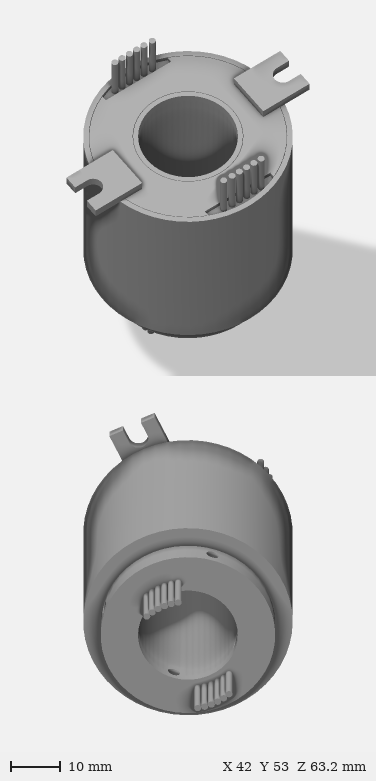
import cadquery as cq
import math


bore_radius = 10.0
sleeve_radius = 11.0
flange_radius = 17.5
flange_height = 5.1
neck_radius = 13.45
neck_height = 0.9
housing_radius = 21.0
housing_height = 39.2
housing_bottom = flange_height + neck_height
housing_top = housing_bottom + housing_height

clearance_width = 0.1
clearance_depth = 1.0
cap_seat_radius = 19.9

screw_hole_diameter = 2.5
screw_hole_count = 4
screw_hole_start_angle = 41.5

tab_width = 10.0
tab_thickness = 2.0
tab_inner_y = 15.0
tab_outer_y = 26.5
slot_width = 4.0
slot_end_y = 21.5

wire_radius = 0.7
wire_length = 9.0
wires_per_group = 6

pocket_inner_x = 16.9
pocket_half_length = 8.1
pocket_depth = 1.0
upper_row_x = 18.2
upper_row_end_y = 4.9
upper_wire_pitch = 1.8
corner_wire_x = 18.1
corner_wire_y = 4.3

lower_arc_radius = 12.0
lower_wire_pitch_angle = 6.8
lower_group_turn = 1.35


def cylinder(radius, bottom, height):
    return cq.Workplane("XY").workplane(offset=bottom).circle(radius).extrude(height)


def ring_cut(outer_radius):
    """Annular clearance sunk into the top face."""
    return (
        cq.Workplane("XY")
        .workplane(offset=housing_top - clearance_depth)
        .circle(outer_radius)
        .circle(outer_radius - clearance_width)
        .extrude(clearance_depth)
    )


def half_turn_pair(shape):
    """The shape together with its copy turned half way round the axis."""
    return [shape, shape.rotate((0, 0, 0), (0, 0, 1), 180)]


def make_body():
    body = cylinder(flange_radius, 0, flange_height)
    body = body.union(cylinder(neck_radius, flange_height, neck_height))
    body = body.union(cylinder(housing_radius, housing_bottom, housing_height))
    body = body.cut(cylinder(bore_radius, 0, housing_top))
    body = body.cut(ring_cut(sleeve_radius + clearance_width))
    return body.cut(ring_cut(cap_seat_radius))


def make_screw_hole(angle):
    """Radial hole from the bore out through the flange."""
    hole = (
        cq.Workplane("YZ")
        .center(0, flange_height / 2)
        .circle(screw_hole_diameter / 2)
        .extrude(flange_radius)
    )
    return hole.rotate((0, 0, 0), (0, 0, 1), angle)


def make_pocket():
    """Wire pocket on the +X side, bounded outside by the cap seat."""
    pocket_bottom = housing_top - pocket_depth
    block = (
        cq.Workplane("XY")
        .workplane(offset=pocket_bottom)
        .center((pocket_inner_x + cap_seat_radius) / 2, 0)
        .rect(cap_seat_radius - pocket_inner_x, 2 * pocket_half_length)
        .extrude(pocket_depth)
    )
    return block.intersect(cylinder(cap_seat_radius, pocket_bottom, pocket_depth))


def make_tab():
    """Plate on the +Y side with a round-ended slot open to its outer edge."""
    slot_radius = slot_width / 2
    slot_centre_y = slot_end_y + slot_radius
    return (
        cq.Workplane("XY")
        .workplane(offset=housing_top)
        .moveTo(-tab_width / 2, tab_inner_y)
        .lineTo(tab_width / 2, tab_inner_y)
        .lineTo(tab_width / 2, tab_outer_y)
        .lineTo(slot_radius, tab_outer_y)
        .lineTo(slot_radius, slot_centre_y)
        .threePointArc((0, slot_end_y), (-slot_radius, slot_centre_y))
        .lineTo(-slot_radius, tab_outer_y)
        .lineTo(-tab_width / 2, tab_outer_y)
        .close()
        .extrude(tab_thickness)
    )


def upper_wire_points():
    """Straight row on the +X side, with the last wire set slightly apart."""
    points = [(corner_wire_x, -corner_wire_y)]
    for index in range(wires_per_group - 1):
        points.append((upper_row_x, upper_row_end_y - index * upper_wire_pitch))
    return points


def lower_wire_points():
    """Arc of wires on the -Y side."""
    points = []
    for index in range(wires_per_group):
        steps_from_middle = index - (wires_per_group - 1) / 2
        angle = math.radians(steps_from_middle * lower_wire_pitch_angle - lower_group_turn)
        points.append((lower_arc_radius * math.sin(angle), -lower_arc_radius * math.cos(angle)))
    return points


def make_wire(point, bottom, height):
    return cylinder(wire_radius, bottom, height).translate((point[0], point[1], 0))


result = make_body()

for hole_index in range(screw_hole_count):
    hole_angle = screw_hole_start_angle + hole_index * 360 / screw_hole_count
    result = result.cut(make_screw_hole(hole_angle))

for pocket in half_turn_pair(make_pocket()):
    result = result.cut(pocket)

for tab in half_turn_pair(make_tab()):
    result = result.union(tab)

for wire_point in upper_wire_points():
    upper_wire = make_wire(wire_point, housing_top - pocket_depth, pocket_depth + wire_length)
    for wire in half_turn_pair(upper_wire):
        result = result.union(wire)

for wire_point in lower_wire_points():
    lower_wire = make_wire(wire_point, -wire_length, wire_length)
    for wire in half_turn_pair(lower_wire):
        result = result.union(wire)